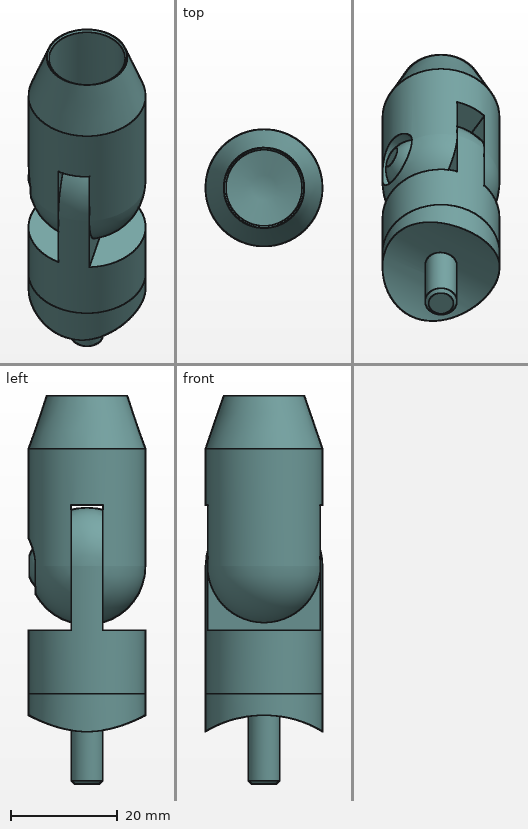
import cadquery as cq
import math


BODY_RADIUS = 11.0
THREAD_DIAMETER = 6.0

HOUSING_HEIGHT = 32.0
TAPER_HEIGHT = 10.0
RIM_RADIUS = 7.6
BORE_RADIUS = 7.15
BORE_DEPTH = 15.0
BORE_TIP_ANGLE = 160
RIM_CHAMFER = 0.4
SLOT_CLEARANCE = 0.45

TONGUE_THICKNESS = 6.0
SHOULDER_DROP = 12.0
BLOCK_HEIGHT = 11.95

RAIL_RADIUS = 21.2
SADDLE_MID_HEIGHT = 4.0

STUD_PROTRUSION = 12.9
STUD_ENGAGEMENT = 7.95
STUD_CHAMFER = 0.65

HEAD_RADIUS = 5.25
HEAD_HEIGHT = 3.3
HEAD_FLAT_RADIUS = 2.0
HEAD_TOP_Y = 10.9

TONGUE_CROWN = BODY_RADIUS
SLOT_ROOF_Z = TONGUE_CROWN + SLOT_CLEARANCE
BLOCK_TOP_Z = -SHOULDER_DROP
BLOCK_BOTTOM_Z = BLOCK_TOP_Z - BLOCK_HEIGHT
SADDLE_CROWN_Z = BLOCK_BOTTOM_Z - SADDLE_MID_HEIGHT
SADDLE_SAGITTA = RAIL_RADIUS - math.sqrt(RAIL_RADIUS**2 - BODY_RADIUS**2)
STUD_BOTTOM_Z = SADDLE_CROWN_Z - STUD_PROTRUSION
STUD_LENGTH = STUD_PROTRUSION + SADDLE_MID_HEIGHT + STUD_ENGAGEMENT
HEAD_SEAT_Y = HEAD_TOP_Y - HEAD_HEIGHT
SCREW_END_Y = -HEAD_SEAT_Y


def cylinder_z(radius, bottom, top):
    """Upright cylinder on the Z axis."""
    return cq.Workplane("XY").workplane(offset=bottom).circle(radius).extrude(top - bottom)


def cylinder_y(radius, start, end):
    """Cylinder on the pivot axis, from Y = start to Y = end."""
    return cq.Workplane("XZ", origin=(0, start, 0)).circle(radius).extrude(start - end)


def slab(bottom, top):
    """Plate as thick as the tongue, wider than the body in X."""
    width = 3 * BODY_RADIUS
    return cq.Workplane("XY").box(width, TONGUE_THICKNESS, top - bottom).translate((0, 0, (top + bottom) / 2))


def screw_shank():
    return cylinder_y(THREAD_DIAMETER / 2, SCREW_END_Y, HEAD_SEAT_Y)


def stud_blank():
    return cylinder_z(THREAD_DIAMETER / 2, STUD_BOTTOM_Z, STUD_BOTTOM_Z + STUD_LENGTH)


def socket_bore():
    """Round bore with a chamfered mouth and a conical bottom."""
    floor_z = HOUSING_HEIGHT - BORE_DEPTH
    tip_depth = BORE_RADIUS / math.tan(math.radians(BORE_TIP_ANGLE / 2))
    return (
        cq.Workplane("XZ")
        .moveTo(0, floor_z - tip_depth)
        .lineTo(BORE_RADIUS, floor_z)
        .lineTo(BORE_RADIUS, HOUSING_HEIGHT - RIM_CHAMFER)
        .lineTo(BORE_RADIUS + RIM_CHAMFER, HOUSING_HEIGHT)
        .lineTo(0, HOUSING_HEIGHT)
        .close()
        .revolve(360, (0, 0, 0), (0, 1, 0))
    )


def make_housing():
    arc_mid = BODY_RADIUS * math.sqrt(0.5)
    outside = (
        cq.Workplane("XZ")
        .moveTo(0, -BODY_RADIUS)
        .threePointArc((arc_mid, -arc_mid), (BODY_RADIUS, 0))
        .lineTo(BODY_RADIUS, HOUSING_HEIGHT - TAPER_HEIGHT)
        .lineTo(RIM_RADIUS, HOUSING_HEIGHT)
        .lineTo(0, HOUSING_HEIGHT)
        .close()
        .revolve(360, (0, 0, 0), (0, 1, 0))
    )
    tongue_slot = slab(-2 * BODY_RADIUS, SLOT_ROOF_Z)
    head_recess = cylinder_y(HEAD_RADIUS, HEAD_SEAT_Y, 2 * BODY_RADIUS)
    return outside.cut(socket_bore()).cut(tongue_slot).cut(head_recess).cut(screw_shank())


def make_fork():
    block = cylinder_z(BODY_RADIUS, BLOCK_BOTTOM_Z, BLOCK_TOP_Z)
    crown = cq.Workplane("XY").sphere(TONGUE_CROWN).intersect(slab(0, TONGUE_CROWN))
    stem = cylinder_z(BODY_RADIUS, BLOCK_TOP_Z, 0).intersect(slab(BLOCK_TOP_Z, 0))
    return block.union(stem).union(crown).cut(screw_shank()).cut(stud_blank())


def make_saddle():
    disc = cylinder_z(BODY_RADIUS, SADDLE_CROWN_Z - SADDLE_SAGITTA, BLOCK_BOTTOM_Z)
    rail = cylinder_y(RAIL_RADIUS, -2 * BODY_RADIUS, 2 * BODY_RADIUS)
    rail = rail.translate((0, 0, SADDLE_CROWN_Z - RAIL_RADIUS))
    return disc.cut(rail).cut(stud_blank())


def make_stud():
    return stud_blank().faces("<Z").chamfer(STUD_CHAMFER)


def make_screw():
    dome_center_y = (
        (HEAD_TOP_Y**2 + HEAD_FLAT_RADIUS**2 - HEAD_SEAT_Y**2 - HEAD_RADIUS**2) / (2 * HEAD_HEIGHT)
    )
    dome_radius = math.hypot(HEAD_RADIUS, HEAD_SEAT_Y - dome_center_y)
    dome = cq.Workplane("XY").sphere(dome_radius).translate((0, dome_center_y, 0))
    head = cylinder_y(HEAD_RADIUS, HEAD_SEAT_Y, HEAD_TOP_Y).intersect(dome)
    return head.union(screw_shank())


housing = make_housing()
fork = make_fork()
saddle = make_saddle()
stud = make_stud()
screw = make_screw()

result = cq.Compound.makeCompound(
    [housing.val(), fork.val(), saddle.val(), stud.val(), screw.val()]
)